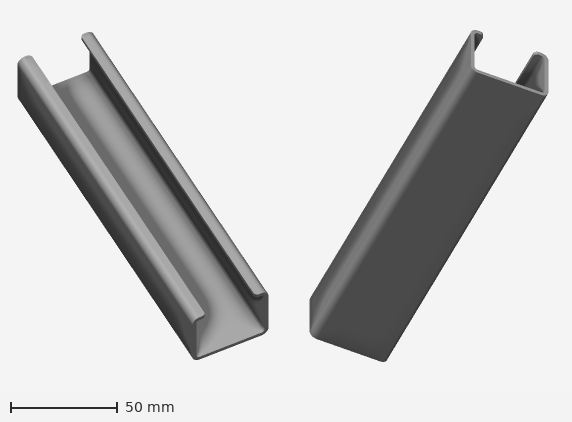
import cadquery as cq

length = 180.0
width = 40.0
height = 30.5
thickness = 2.0
outer_bend_radius = 3.8
lip_reach = 7.0
lip_corner_radius = 2.0

inner_bend_radius = outer_bend_radius - thickness
mouth_width = width - 2 * lip_reach


def bar(bar_width, bottom, top):
    """Rectangular bar along X, centred on X and Y."""
    return (
        cq.Workplane("XY")
        .workplane(offset=bottom)
        .rect(length, bar_width)
        .extrude(top - bottom)
    )


def channel():
    """Tube with bent corners, opened along the top to leave two lips."""
    outside = bar(width, 0, height).edges("|X").fillet(outer_bend_radius)
    inside = (
        bar(width - 2 * thickness, thickness, height - thickness)
        .edges("|X")
        .fillet(inner_bend_radius)
    )
    mouth = bar(mouth_width, height / 2, height)
    return outside.cut(inside).cut(mouth)


def round_lip_corners(body):
    """Round the vertical corners at both ends of each lip's free edge."""
    half_length = length / 2
    half_mouth = mouth_width / 2
    margin = thickness / 2
    corners = cq.selectors.BoxSelector(
        (-half_length - margin, -half_mouth - margin, height - 2 * thickness),
        (half_length + margin, half_mouth + margin, height),
    )
    return body.edges("|Z").edges(corners).fillet(lip_corner_radius)


result = round_lip_corners(channel())